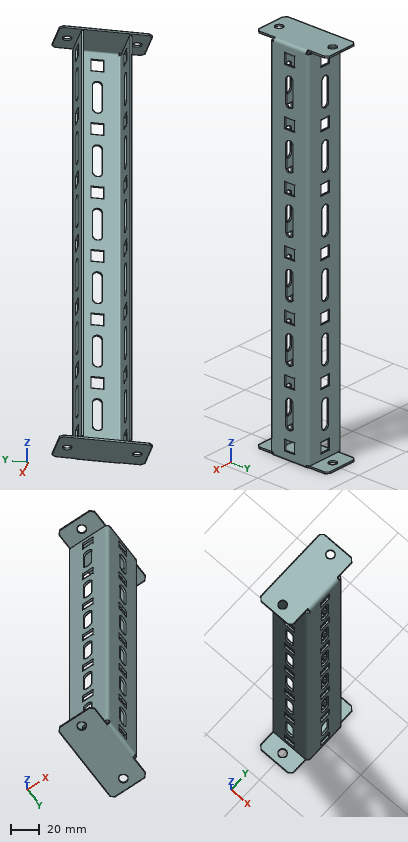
import cadquery as cq

LENGTH = 324.0
DEPTH = 33.0
THICKNESS = 1.5
INNER_BEND_RADIUS = 1.0
OUTER_BEND_RADIUS = INNER_BEND_RADIUS + THICKNESS

CHANNEL_WIDTH = 36.0
WEB_FLAT_WIDTH = CHANNEL_WIDTH - 2 * OUTER_BEND_RADIUS
FLANGE_HEIGHT = LENGTH - 2 * OUTER_BEND_RADIUS

PLATE_DEPTH = DEPTH - OUTER_BEND_RADIUS
PLATE_WIDTH = 66.0
PLATE_CORNER_CUT = 2.5
BOLT_HOLE_DIAMETER = 6.5
BOLT_HOLE_SPACING = 50.0

SQUARE_SIZE = 9.0
SQUARE_COUNT = 7
SQUARE_END_INSET = 12.0
SLOT_WIDTH = 7.0
SLOT_LENGTH = 25.0
SQUARE_PITCH = (LENGTH - 2 * SQUARE_END_INSET) / (SQUARE_COUNT - 1)
HOLE_LINE_X = 15.5

SQUARE_POSITIONS = [(0, (i - (SQUARE_COUNT - 1) / 2) * SQUARE_PITCH) for i in range(SQUARE_COUNT)]
SLOT_POSITIONS = [(0, z + SQUARE_PITCH / 2) for _, z in SQUARE_POSITIONS[:-1]]


def block(depth, width, height):
    """Box with its -X face on X = 0, centred on Y and Z."""
    return cq.Workplane("XY").box(depth, width, height, centered=(False, True, True))


def channel_fold():
    """Web with both flanges, which stop short of the end plates to clear their bends."""
    outside = block(DEPTH, CHANNEL_WIDTH, FLANGE_HEIGHT)
    outside = outside.edges("|Z and >X").fillet(OUTER_BEND_RADIUS)
    inside = block(DEPTH - THICKNESS, CHANNEL_WIDTH - 2 * THICKNESS, FLANGE_HEIGHT)
    inside = inside.edges("|Z and >X").fillet(INNER_BEND_RADIUS)
    return outside.cut(inside)


def end_fold():
    """Web bent over at the top and bottom, as wide as its flat part."""
    outside = block(DEPTH, WEB_FLAT_WIDTH, LENGTH)
    outside = outside.edges("|Y and >X").fillet(OUTER_BEND_RADIUS)
    inside = block(DEPTH - THICKNESS, WEB_FLAT_WIDTH, LENGTH - 2 * THICKNESS)
    inside = inside.edges("|Y and >X").fillet(INNER_BEND_RADIUS)
    return outside.cut(inside)


def end_plate(middle_z):
    """Plate with cut corners."""
    plate = block(PLATE_DEPTH, PLATE_WIDTH, THICKNESS).edges("|Z").chamfer(PLATE_CORNER_CUT)
    return plate.translate((0, 0, middle_z))


def bolt_holes():
    """Cutters through both end plates, one on each side of the channel."""
    return (
        cq.Workplane("XY", origin=(HOLE_LINE_X, 0, 0))
        .pushPoints([(0, -BOLT_HOLE_SPACING / 2), (0, BOLT_HOLE_SPACING / 2)])
        .circle(BOLT_HOLE_DIAMETER / 2)
        .extrude(LENGTH, both=True)
    )


def perforation(plane, origin, reach):
    """Row of square and slot cutters along Z, reaching equally to both sides of the plane."""
    face = cq.Workplane(plane, origin=origin)
    squares = face.pushPoints(SQUARE_POSITIONS).rect(SQUARE_SIZE, SQUARE_SIZE).extrude(reach, both=True)
    slots = face.pushPoints(SLOT_POSITIONS).slot2D(SLOT_LENGTH, SLOT_WIDTH, 90).extrude(reach, both=True)
    return squares.union(slots)


bracket = channel_fold().union(end_fold())
for side in (-1, 1):
    bracket = bracket.union(end_plate(side * (LENGTH - THICKNESS) / 2))

flange_holes = perforation("XZ", (HOLE_LINE_X, 0, 0), CHANNEL_WIDTH)
web_holes = perforation("YZ", (DEPTH, 0, 0), 2 * THICKNESS)
result = bracket.cut(bolt_holes()).cut(flange_holes).cut(web_holes)